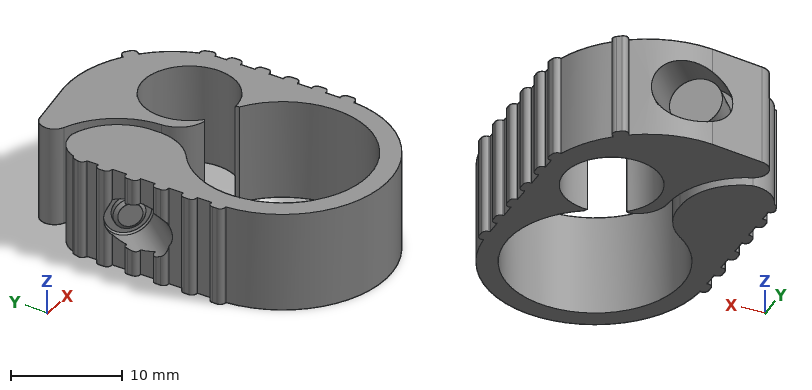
import cadquery as cq
import math

thickness = 10.0
ring_outer_r = 10.65
ring_inner_r = 8.65

crown_center = (0.23, 11.8)
crown_r = 10.7
crown_slope = math.radians(8.4)
nose_center = (-6.43, 20.05)
nose_r = 1.43
nose_end_angle = math.radians(248)

loop_center = (4.0, 12.45)
loop_r = 4.68
loop_tip_left_angle = math.radians(229)
loop_tip_right_angle = math.radians(273)

hook_inner_mid = (-3.05, 15.55)
hook_inner_end = (-1.85, 11.65)
hook_tail_mid = (-0.95, 9.58)
hook_tail_end = (0.7, 8.72)
right_tip_mid = (4.38, 7.63)
right_tip_end_angle = math.radians(59)
finger_root_angle = math.radians(125.5)
finger_lower_mid = (-3.5, 9.02)
finger_side = (-3.05, 11.6)
finger_side_mid = (-4.15, 15.25)
finger_top = (-7.53, 17.5)
finger_cap_mid = (-9.4, 16.98)
finger_shoulder = (-10.65, 15.25)

rib_width = 1.5
rib_corner_r = 0.5
rib_x = 10.5
straight_ribs = 5
rib_row_length = 12.0
rib_pitch = rib_row_length / (straight_ribs - 1)
upper_rib_x = 10.3
upper_rib_y = 14.62
upper_rib_tilt = 16
crown_rib = (6.7, 20.35)
crown_rib_tilt = 53

screw_angle = 50
screw_origin = (-4.8, 15.65)
shank_d = 3.1
shank_end = -7.25
shank_chamfer_width = 0.35
shank_chamfer_length = 0.25
pocket_d = 4.9
pocket_floor = -6.43
pocket_chamfer = 0.15
head_bore_d = 6.2
head_bore_floor = 3.98
head_d = 4.9
head_end = 6.83
bore_reach = 19.9


def polar(center, radius, angle):
    return (center[0] + radius * math.cos(angle), center[1] + radius * math.sin(angle))


def mid_polar(center, radius, start, end):
    return polar(center, radius, (start + end) / 2)


def clip_body():
    origin = (0, 0)
    back_angle = math.pi / 2 + crown_slope
    crown_start_angle = math.acos((ring_outer_r - crown_center[0]) / crown_r)
    loop_far_angle = loop_tip_right_angle - 2 * math.pi
    outline = (
        cq.Workplane("XY").workplane(offset=-thickness / 2)
        .moveTo(-ring_outer_r, 0)
        .threePointArc((0, -ring_outer_r), (ring_outer_r, 0))
        .lineTo(*polar(crown_center, crown_r, crown_start_angle))
        .threePointArc(
            mid_polar(crown_center, crown_r, crown_start_angle, back_angle),
            polar(crown_center, crown_r, back_angle),
        )
        .lineTo(*polar(nose_center, nose_r, back_angle))
        .threePointArc(
            mid_polar(nose_center, nose_r, back_angle, nose_end_angle),
            polar(nose_center, nose_r, nose_end_angle),
        )
        .threePointArc(hook_inner_mid, hook_inner_end)
        .threePointArc(hook_tail_mid, hook_tail_end)
        .lineTo(*polar(loop_center, loop_r, loop_tip_left_angle))
        .threePointArc(
            mid_polar(loop_center, loop_r, loop_tip_left_angle, loop_far_angle),
            polar(loop_center, loop_r, loop_tip_right_angle),
        )
        .threePointArc(right_tip_mid, polar(origin, ring_inner_r, right_tip_end_angle))
        .threePointArc(
            (0, -ring_inner_r),
            polar(origin, ring_inner_r, finger_root_angle),
        )
        .threePointArc(finger_lower_mid, finger_side)
        .threePointArc(finger_side_mid, finger_top)
        .threePointArc(finger_cap_mid, finger_shoulder)
        .close()
    )
    return outline.extrude(thickness)


def grip_rib(center, tilt):
    """Square bar with rounded corners, turned by tilt degrees about its own axis."""
    bar = cq.Workplane("XY").box(rib_width, rib_width, thickness).edges("|Z").fillet(rib_corner_r)
    return bar.rotate((0, 0, 0), (0, 0, 1), tilt).translate((*center, 0))


def grip_ribs():
    ribs = grip_rib(crown_rib, crown_rib_tilt)
    for side in (-1, 1):
        ribs = ribs.union(grip_rib((side * upper_rib_x, upper_rib_y), side * upper_rib_tilt))
        for i in range(straight_ribs):
            ribs = ribs.union(grip_rib((side * rib_x, i * rib_pitch), 0))
    return ribs


def axial_cylinder(diameter, start, end):
    """Cylinder on the screw axis between two distances from the screw origin."""
    angle = math.radians(screw_angle)
    direction = cq.Vector(math.cos(angle), math.sin(angle), 0)
    base = cq.Vector(*screw_origin, 0) + direction * start
    return cq.Workplane(cq.Solid.makeCylinder(diameter / 2, end - start, base, direction))


def screw():
    shank = axial_cylinder(shank_d, shank_end, head_end)
    shank = shank.faces("<X").chamfer(shank_chamfer_length, shank_chamfer_width)
    return shank.union(axial_cylinder(head_d, head_bore_floor, head_end))


pocket = axial_cylinder(pocket_d, -bore_reach, pocket_floor).faces(">X").chamfer(pocket_chamfer)
head_bore = axial_cylinder(head_bore_d, head_bore_floor, bore_reach)

result = clip_body().union(grip_ribs()).cut(pocket).cut(head_bore).union(screw())